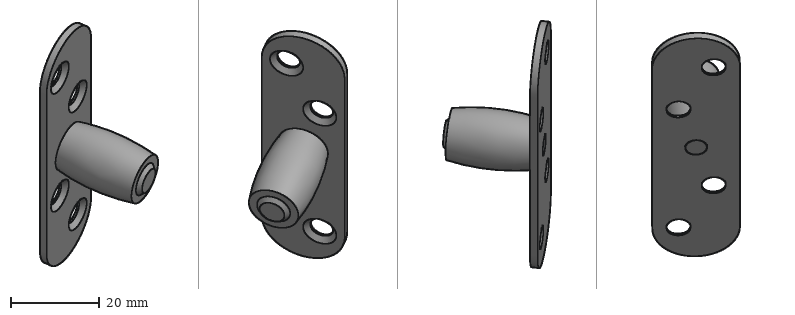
import cadquery as cq

plate_length = 74.0
plate_width = 20.0
plate_thickness = 1.8
screw_hole_diameter = 5.5
countersink_diameter = 8.0
countersink_depth = (countersink_diameter - screw_hole_diameter) / 2
screw_hole_offset_y = 4.0
outer_hole_z = 27.0
inner_hole_z = 13.0

sleeve_length = 20.0
sleeve_end_diameter = 12.0
sleeve_middle_diameter = 14.0

pin_diameter = 4.8
pin_hole_diameter = 5.0
head_base_diameter = 8.0
head_tip_diameter = 6.0
head_height = 1.0

sleeve_start_x = plate_thickness
sleeve_middle_x = sleeve_start_x + sleeve_length / 2
sleeve_end_x = sleeve_start_x + sleeve_length
pin_end_x = sleeve_end_x + head_height

AXIS_START = (0, 0, 0)
AXIS_END = (1, 0, 0)


def make_screw_hole():
    """Volume of one screw hole, countersunk from the sleeve side of the plate."""
    hole_radius = screw_hole_diameter / 2
    return (
        cq.Workplane("XY")
        .moveTo(0, 0)
        .lineTo(0, hole_radius)
        .lineTo(plate_thickness - countersink_depth, hole_radius)
        .lineTo(plate_thickness, countersink_diameter / 2)
        .lineTo(plate_thickness, 0)
        .close()
        .revolve(360, AXIS_START, AXIS_END)
    )


def make_plate():
    """Round-ended plate with staggered countersunk screw holes and a central pin hole."""
    screw_hole_centers = [
        (-screw_hole_offset_y, outer_hole_z),
        (screw_hole_offset_y, inner_hole_z),
        (-screw_hole_offset_y, -inner_hole_z),
        (screw_hole_offset_y, -outer_hole_z),
    ]
    plate = cq.Workplane("YZ").slot2D(plate_length, plate_width, 90).extrude(plate_thickness)
    pin_hole = cq.Workplane("YZ").circle(pin_hole_diameter / 2).extrude(plate_thickness)
    plate = plate.cut(pin_hole)
    for y, z in screw_hole_centers:
        plate = plate.cut(make_screw_hole().translate((0, y, z)))
    return plate


def make_sleeve():
    """Bulged sleeve with a straight bore, revolved about the X axis."""
    bore_radius = pin_hole_diameter / 2
    end_radius = sleeve_end_diameter / 2
    return (
        cq.Workplane("XY")
        .moveTo(sleeve_start_x, bore_radius)
        .lineTo(sleeve_start_x, end_radius)
        .threePointArc((sleeve_middle_x, sleeve_middle_diameter / 2), (sleeve_end_x, end_radius))
        .lineTo(sleeve_end_x, bore_radius)
        .close()
        .revolve(360, AXIS_START, AXIS_END)
    )


def make_pin():
    """Straight pin, flush with the plate, with a conical head on the sleeve end."""
    pin_radius = pin_diameter / 2
    return (
        cq.Workplane("XY")
        .moveTo(0, 0)
        .lineTo(0, pin_radius)
        .lineTo(sleeve_end_x, pin_radius)
        .lineTo(sleeve_end_x, head_base_diameter / 2)
        .lineTo(pin_end_x, head_tip_diameter / 2)
        .lineTo(pin_end_x, 0)
        .close()
        .revolve(360, AXIS_START, AXIS_END)
    )


plate = make_plate()
sleeve = make_sleeve()
pin = make_pin()

result = cq.Compound.makeCompound([plate.val(), sleeve.val(), pin.val()])